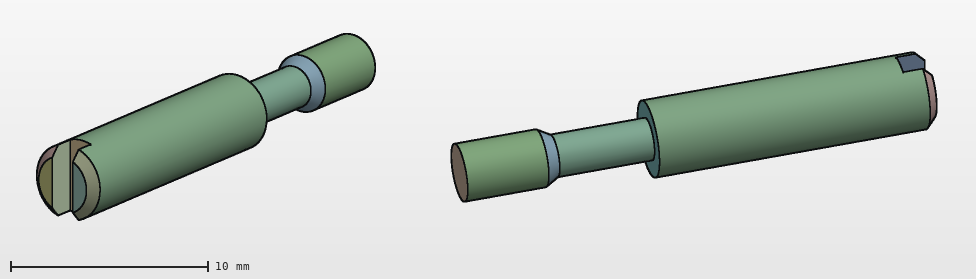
import cadquery as cq

total_length = 24.8
head_diameter = 4.0
neck_diameter = 2.2
tip_diameter = 3.0

head_length = 14.8
neck_length = 5.0
cone_length = 0.7
head_chamfer = 0.5

slot_width = 1.3
slot_depth = 1.55

neck_end = head_length + neck_length
cone_end = neck_end + cone_length


def turned_body():
    """Revolve the half outline (radius, Y) about the Y axis."""
    head_radius = head_diameter / 2
    neck_radius = neck_diameter / 2
    tip_radius = tip_diameter / 2
    outline = [
        (0, 0),
        (head_radius - head_chamfer, 0),
        (head_radius, head_chamfer),
        (head_radius, head_length),
        (neck_radius, head_length),
        (neck_radius, neck_end),
        (tip_radius, cone_end),
        (tip_radius, total_length),
        (0, total_length),
    ]
    return cq.Workplane("XY").polyline(outline).close().revolve(360, (0, 0, 0), (0, 1, 0))


def driver_slot():
    """Slot open at the head's end face, running right through along Z."""
    return cq.Workplane("XY").box(
        slot_width, slot_depth, head_diameter, centered=(True, False, True)
    )


result = turned_body().cut(driver_slot())